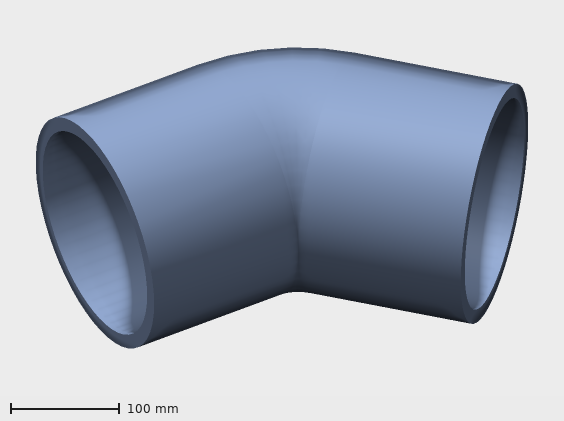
import cadquery as cq
import math

outer_diameter = 225.0
wall = 13.4
bend_radius = 113.0
bend_angle = 45.0
inlet_length = 151.19
outlet_length = 155.43

outer_radius = outer_diameter / 2
inner_radius = outer_radius - wall


def elbow(radius):
    """Solid elbow with a round section of the given radius."""
    inlet = cq.Workplane("XZ").circle(radius).extrude(inlet_length)

    bend_axis_start = (bend_radius, 0, 0)
    bend_axis_end = (bend_radius, -1, 0)
    bend = cq.Workplane("XZ").circle(radius).revolve(bend_angle, bend_axis_start, bend_axis_end)

    turn = math.radians(bend_angle)
    outlet_plane = cq.Plane(
        origin=(bend_radius * (1 - math.cos(turn)), bend_radius * math.sin(turn), 0),
        xDir=(0, 0, 1),
        normal=(math.sin(turn), math.cos(turn), 0),
    )
    outlet = cq.Workplane(outlet_plane).circle(radius).extrude(outlet_length)

    return inlet.union(bend).union(outlet)


result = elbow(outer_radius).cut(elbow(inner_radius))